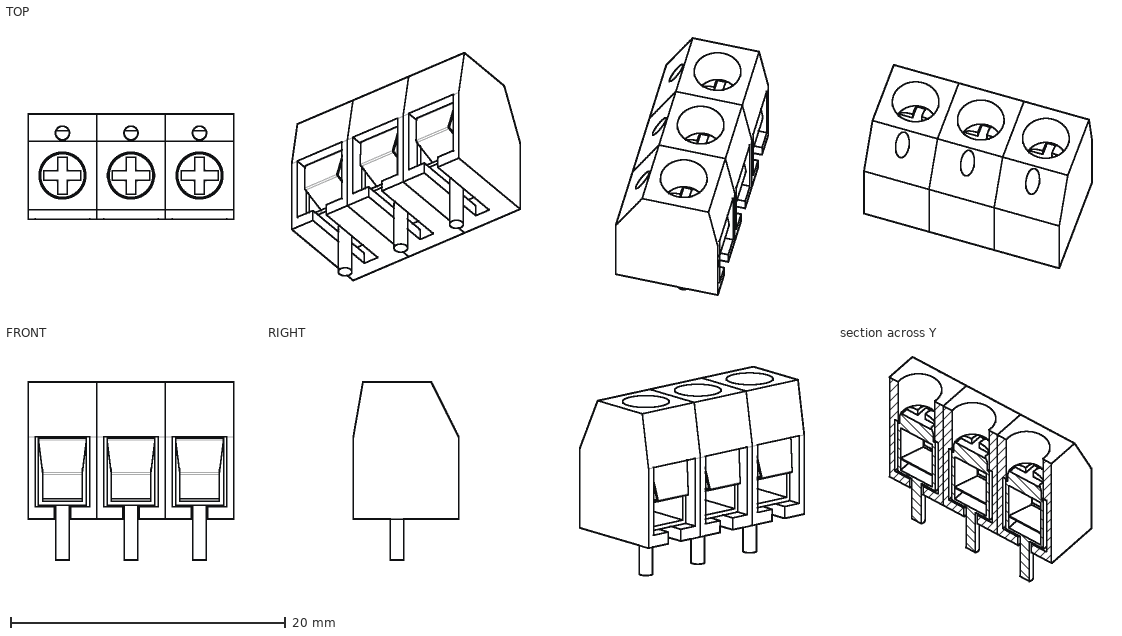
import cadquery as cq

pole_count = 3
pitch = 5.0

front_y = -3.2
back_y = 4.5
housing_height = 10.0
shoulder_height = 6.0
top_face_half_depth = 2.5

cavity_width = 4.0
cavity_floor = 0.9
cavity_back_y = 3.25
floor_slot_width = 1.2

screw_hole_diameter = 3.4
probe_hole_diameter = 1.0
probe_hole_y = 3.1

cage_width = 3.5
cage_bottom = 1.0
cage_top = 5.78
cage_wall = 0.3
cage_half_length = 2.45
cage_opening_width = cage_width - 2 * cage_wall

leaf_thickness = 0.12
leaf_top_bend_y = -cage_half_length
leaf_low_bend_y = -2.93
leaf_low_bend_z = 3.4
leaf_tip_z = 1.62

screw_diameter = 3.2
screw_top = 7.5
screw_edge_radius = 1.0
cross_length = 2.7
cross_width = 0.7
cross_depth = 0.5
pin_diameter = 1.0
pin_length = 3.0


def block(width, y_min, y_max, z_min, z_max):
    """A box centred on X = 0."""
    return cq.Workplane("XY").box(
        width, y_max - y_min, z_max - z_min, centered=(True, False, False)
    ).translate((0, y_min, z_min))


def cylinder(diameter, y, z_min, z_max):
    """An upright cylinder with its axis at X = 0."""
    return cq.Workplane("XY", origin=(0, y, z_min)).circle(diameter / 2).extrude(z_max - z_min)


def make_housing():
    side_outline = [
        (front_y, 0),
        (back_y, 0),
        (back_y, shoulder_height),
        (top_face_half_depth, housing_height),
        (-top_face_half_depth, housing_height),
        (front_y, shoulder_height),
    ]
    shell = cq.Workplane("YZ").polyline(side_outline).close().extrude(pitch / 2, both=True)
    cavity = block(cavity_width, front_y, cavity_back_y, cavity_floor, shoulder_height)
    floor_slot = block(floor_slot_width, front_y, cavity_back_y, 0, cavity_floor)
    screw_hole = cylinder(screw_hole_diameter, 0, shoulder_height, housing_height)
    probe_hole = cylinder(probe_hole_diameter, probe_hole_y, shoulder_height, housing_height)
    return shell.cut(cavity).cut(floor_slot).cut(screw_hole).cut(probe_hole)


def make_cage():
    tube = block(cage_width, -cage_half_length, cage_half_length, cage_bottom, cage_top)
    opening = block(
        cage_opening_width,
        -cage_half_length,
        cage_half_length,
        cage_bottom + cage_wall,
        cage_top - cage_wall,
    )
    return tube.cut(opening)


def make_leaf():
    wedge_outline = [
        (cage_half_length, cage_top),
        (leaf_top_bend_y, cage_top),
        (leaf_low_bend_y, leaf_low_bend_z),
        (cage_half_length, leaf_tip_z),
    ]
    half_width = cage_width / 2
    wedge = cq.Workplane("YZ").polyline(wedge_outline).close().extrude(half_width, both=True)
    padded_wedge = (
        cq.Workplane("YZ")
        .polyline(wedge_outline)
        .close()
        .offset2D(leaf_thickness)
        .extrude(half_width, both=True)
    )
    skin = padded_wedge.cut(wedge)

    low_half_width = cage_opening_width / 2
    front_outline = [
        (-low_half_width, cage_bottom),
        (low_half_width, cage_bottom),
        (low_half_width, leaf_low_bend_z),
        (half_width, cage_top),
        (half_width, shoulder_height),
        (-half_width, shoulder_height),
        (-half_width, cage_top),
        (-low_half_width, leaf_low_bend_z),
    ]
    trim = (
        cq.Workplane("XZ", origin=(0, cage_half_length, 0))
        .polyline(front_outline)
        .close()
        .extrude(cage_half_length - front_y)
    )
    return skin.intersect(trim)


def make_screw():
    head = cylinder(screw_diameter, 0, cage_top, screw_top).faces(">Z").edges().fillet(screw_edge_radius)
    cross_floor = screw_top - cross_depth
    slot_along_x = block(cross_length, -cross_width / 2, cross_width / 2, cross_floor, screw_top)
    slot_along_y = block(cross_width, -cross_length / 2, cross_length / 2, cross_floor, screw_top)
    return head.cut(slot_along_x).cut(slot_along_y)


def make_terminal():
    pin = cylinder(pin_diameter, 0, -pin_length, cage_bottom)
    return make_cage().union(make_leaf()).union(make_screw()).union(pin)


housing = make_housing()
terminal = make_terminal()

bodies = []
for pole in range(pole_count):
    pole_x = (pole - (pole_count - 1) / 2) * pitch
    bodies.append(housing.translate((pole_x, 0, 0)).val())
    bodies.append(terminal.translate((pole_x, 0, 0)).val())

result = cq.Compound.makeCompound(bodies)